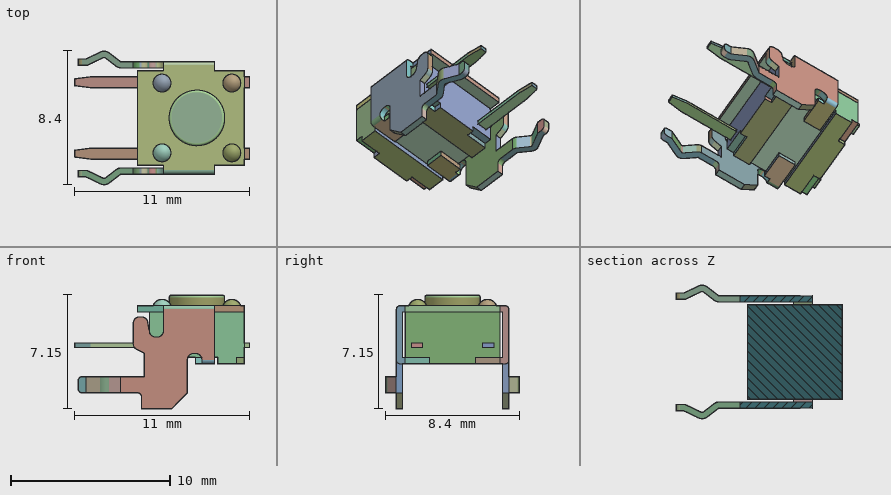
import cadquery as cq
import math


housing_size = 5.96
housing_half = housing_size / 2
housing_bottom = -3.26
foot_inner_x = 1.31
foot_shoulder_x = 2.5
foot_tip_width = 2.88

sheet = 0.41
cover_left = -3.74
wall_outer_y = 3.54
wall_inner_y = wall_outer_y - sheet
wall_left = -2.1
wall_right = 1.11
wall_bottom = housing_bottom - sheet
fold_radius = 0.24

tab_left = -0.1
tab_end_y = foot_tip_width / 2

hook_left = -4.0
hook_top = -0.7
hook_top_right = -3.15
hook_heel = -2.65
slot_bottom = -1.98
slot_bottom_left = -2.93
neck_left = -3.31
neck_top = -2.99
relief_left = -0.59
relief_right = 0.31
relief_top = -3.0
leg_left = -3.49
leg_bottom = -6.49
leg_bottom_right = -1.58
wall_round = 0.4
small_round = 0.25

arm_top = -4.47
arm_bottom = -5.49
arm_tip_x = -7.47
arm_tip_y = 3.71
arm_tip_bend_x = -6.98
arm_root_bend_x = -4.8
arm_tip_angle = 25.8
arm_root_angle = 37.6
bend_inner_radius = 0.13
bend_outer_radius = bend_inner_radius + sheet

button_diameter = 3.5
button_height = 0.66
button_round = 0.15
rivet_spacing = 4.39
rivet_shank_diameter = 0.75
rivet_head_radius = 0.56
rivet_head_height = 0.4

lead_left = -7.69
lead_length = 11.0
lead_width = 0.7
lead_tip_width = 0.44
lead_taper = 1.02
lead_thickness = 0.3
lead_bottom = -2.64
lead_y = 2.24


def block(x_range, y_range, z_range):
    """Box given by its limits along each axis."""
    (x0, x1), (y0, y1), (z0, z1) = x_range, y_range, z_range
    return cq.Workplane("XY").box(x1 - x0, y1 - y0, z1 - z0, centered=False).translate((x0, y0, z0))


def round_edge(solid, point, radius):
    """Fillet the one edge whose centre lies at the given point."""
    return solid.edges(cq.NearestToPointSelector(point)).fillet(radius)


def both_sides(solid):
    """The solid together with its mirror image across the XZ plane."""
    return solid.union(solid.mirror("XZ"))


def rivet_points():
    return cq.Workplane("XY").workplane(offset=-sheet).rect(rivet_spacing, rivet_spacing, forConstruction=True)


def arm_outline():
    """Plan outline of the +Y arm with its wavy bend."""
    tip_slope = math.tan(math.radians(arm_tip_angle))
    root_slope = math.tan(math.radians(arm_root_angle))
    rise = arm_tip_y - wall_outer_y
    peak_x = (
        root_slope * arm_root_bend_x + tip_slope * arm_tip_bend_x - rise
    ) / (root_slope + tip_slope)
    peak_y = wall_outer_y + root_slope * (arm_root_bend_x - peak_x)

    corners = [
        (arm_tip_x, arm_tip_y, 0, 0),
        (arm_tip_bend_x, arm_tip_y, 0, arm_tip_angle),
        (peak_x, peak_y, arm_tip_angle, -arm_root_angle),
        (arm_root_bend_x, wall_outer_y, -arm_root_angle, 0),
        (neck_left, wall_outer_y, 0, 0),
    ]
    outer = [(x, y) for x, y, before, after in corners]
    inner = []
    for x, y, before, after in corners:
        heading = math.radians((before + after) / 2)
        mitre = sheet / math.cos(math.radians((after - before) / 2))
        inner.append((x + mitre * math.sin(heading), y - mitre * math.cos(heading)))
    return outer, inner


def make_arm():
    outer, inner = arm_outline()
    arm_height = arm_top - arm_bottom
    arm = (
        cq.Workplane("XY").workplane(offset=arm_bottom)
        .polyline(outer + inner[::-1]).close()
        .extrude(arm_height)
    )
    middle = (arm_top + arm_bottom) / 2
    peak, root = 2, 3
    arm = round_edge(arm, (*outer[peak], middle), bend_outer_radius)
    arm = round_edge(arm, (*inner[peak], middle), bend_inner_radius)
    arm = round_edge(arm, (*inner[root], middle), bend_outer_radius)
    return arm.faces("<X").edges("|Y").fillet(small_round)


def make_wall():
    """Side wall on the +Y side with its hook, slot, relief, leg and arm."""
    outline = [
        (wall_left, 0),
        (wall_right, 0),
        (wall_right, wall_bottom),
        (relief_right, wall_bottom),
        (relief_right, relief_top),
        (relief_left, relief_top),
        (relief_left, arm_bottom),
        (leg_bottom_right, leg_bottom),
        (leg_left, leg_bottom),
        (leg_left, arm_bottom),
        (arm_root_bend_x, arm_bottom),
        (arm_root_bend_x, arm_top),
        (neck_left, arm_top),
        (neck_left, neck_top),
        (hook_left, hook_heel),
        (hook_left, hook_top),
        (hook_top_right, hook_top),
        (slot_bottom_left, slot_bottom),
        (wall_left, slot_bottom),
    ]
    wall = (
        cq.Workplane("XZ").workplane(offset=-wall_outer_y)
        .polyline(outline).close()
        .extrude(sheet)
    )
    large_rounds = [
        (relief_right, relief_top),
        (relief_left, relief_top),
        (hook_left, hook_heel),
        (hook_left, hook_top),
        (hook_top_right, hook_top),
        (slot_bottom_left, slot_bottom),
        (wall_left, slot_bottom),
    ]
    middle_y = wall_outer_y - sheet / 2
    for x, z in large_rounds:
        wall = round_edge(wall, (x, middle_y, z), wall_round)
    wall = round_edge(wall, (leg_left, middle_y, arm_bottom), small_round)
    wall = round_edge(wall, ((wall_left + wall_right) / 2, wall_outer_y, 0), fold_radius)
    wall = round_edge(wall, ((relief_right + wall_right) / 2, wall_outer_y, wall_bottom), fold_radius)
    return wall.union(make_arm())


def make_cover():
    plate = block((cover_left, housing_half), (-housing_half, housing_half), (-sheet, 0))
    wing = block((wall_left, wall_right), (0, wall_inner_y), (-sheet, 0))
    tab = block((tab_left, wall_right), (tab_end_y, wall_inner_y), (wall_bottom, housing_bottom))
    cover = plate.union(both_sides(make_wall().union(wing).union(tab)))
    button_hole = cq.Workplane("XY").workplane(offset=-sheet).circle(button_diameter / 2).extrude(sheet)
    rivet_holes = rivet_points().vertices().circle(rivet_shank_diameter / 2).extrude(sheet)
    return cover.cut(button_hole).cut(rivet_holes)


def make_foot():
    """T-shaped foot under the +X end of the housing."""
    heights = (wall_bottom, housing_bottom)
    wide = block((foot_inner_x, foot_shoulder_x), (-housing_half, housing_half), heights)
    narrow = block((foot_shoulder_x, housing_half), (-foot_tip_width / 2, foot_tip_width / 2), heights)
    return wide.union(narrow)


def make_button():
    return (
        cq.Workplane("XY").workplane(offset=-sheet)
        .circle(button_diameter / 2).extrude(sheet + button_height)
        .faces(">Z").edges().fillet(button_round)
    )


def make_rivets():
    """Round shanks through the cover, each with a domed head resting on it."""
    shanks = rivet_points().vertices().circle(rivet_shank_diameter / 2).extrude(sheet)
    sphere_radius = (rivet_head_radius**2 + rivet_head_height**2) / (2 * rivet_head_height)
    half_angle = math.asin(rivet_head_radius / sphere_radius) / 2
    arc_middle = (
        sphere_radius * math.sin(half_angle),
        rivet_head_height - sphere_radius * (1 - math.cos(half_angle)),
    )
    head = (
        cq.Workplane("XZ")
        .lineTo(rivet_head_radius, 0)
        .threePointArc(arc_middle, (0, rivet_head_height))
        .close().revolve(360, (0, 0), (0, 1))
    )
    rivets = shanks
    for x in (-rivet_spacing / 2, rivet_spacing / 2):
        for y in (-rivet_spacing / 2, rivet_spacing / 2):
            rivets = rivets.union(head.translate((x, y, 0)))
    return rivets


def make_lead(y):
    """Flat lead that passes through the housing, tapered at its -X tip."""
    half, half_tip = lead_width / 2, lead_tip_width / 2
    shoulder = lead_left + lead_taper
    end = lead_left + lead_length
    outline = [
        (lead_left, -half_tip),
        (shoulder, -half),
        (end, -half),
        (end, half),
        (shoulder, half),
        (lead_left, half_tip),
    ]
    lead = cq.Workplane("XY").polyline(outline).close().extrude(lead_thickness)
    return lead.translate((0, y, lead_bottom))


def make_housing(leads):
    """Moulded body with its feet, button and rivets, slotted for the leads."""
    half_range = (-housing_half, housing_half)
    housing = block(half_range, half_range, (housing_bottom, -sheet))
    foot = make_foot()
    housing = housing.union(foot).union(foot.mirror("YZ"))
    housing = housing.union(make_button()).union(make_rivets())
    for lead in leads:
        housing = housing.cut(lead)
    return housing


cover = make_cover()
leads = [make_lead(y) for y in (-lead_y, lead_y)]
housing = make_housing(leads)

result = cq.Compound.makeCompound([cover.val(), housing.val(), *[lead.val() for lead in leads]])